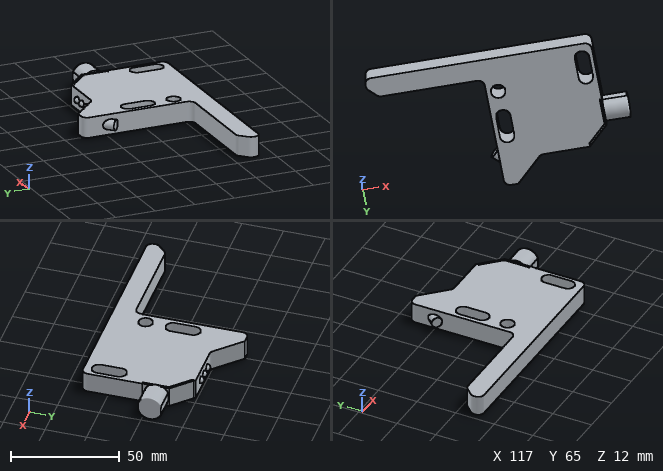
import cadquery as cq
import math

thickness = 10.0
plate_length = 105.7
plate_height = 65.0
arm_width = 10.0
arm_tip_chamfer = 5.0
wall_x = 53.9
shelf_y = 52.3
horn_width = 6.4
corner_chamfer = 9.8
corner_radius = 3.0
mid_z = thickness / 2

hole_diameter = 6.7
slot_length = 16.6
left_hole_x = 59.5
round_hole_y = 17.1
left_slot_y = 35.1
right_slot_x = 100.5
right_slot_y = 12.0

lamp_radius = 1.6
lamp_pitch = 5.0
lamp_count = 3
middle_lamp_x = 83.5

lens_diameter = 5.1
lens_length = 7.0
lens_center_x = 51.9
lens_center_y = 49.7

recess_depth = 1.0
strip_gap = 0.4
strip_end_y = 29.5
strip_top_margin = 1.2

knob_root_diameter = 11.9
knob_end_diameter = 12.0
knob_across_flats = 11.0
knob_end_x = 117.0
knob_y = 36.4
knob_edge_radius = 0.4


def make_plate_blank():
    """Plate with a long arm at its foot and a sloped horn at its top left."""
    horn_x = wall_x + horn_width
    horn_drop = plate_height - shelf_y
    chamfer_bottom = (plate_length, shelf_y - corner_chamfer)
    chamfer_top = (plate_length - corner_chamfer, shelf_y)
    horn_tip = (horn_x, plate_height)
    sharp_corners = [chamfer_bottom, chamfer_top, horn_tip]
    outline = [
        (0, 0),
        (plate_length, 0),
        chamfer_bottom,
        chamfer_top,
        (horn_x + horn_drop, shelf_y),
        horn_tip,
        (wall_x, plate_height),
        (wall_x, arm_width),
        (arm_tip_chamfer, arm_width),
        (0, arm_width - arm_tip_chamfer),
    ]
    blank = cq.Workplane("XY").polyline(outline).close().extrude(thickness)
    rounded_edges = blank.edges("|Z").filter(
        lambda edge: all(
            math.dist((edge.Center().x, edge.Center().y), corner) > corner_radius / 2
            for corner in sharp_corners
        )
    )
    return rounded_edges.fillet(corner_radius)


def make_mounting_holes():
    slots = (
        cq.Workplane("XY")
        .pushPoints([(left_hole_x, left_slot_y), (right_slot_x, right_slot_y)])
        .slot2D(slot_length, hole_diameter, 90)
        .extrude(thickness)
    )
    hole = cq.Workplane("XY").center(left_hole_x, round_hole_y).circle(hole_diameter / 2).extrude(thickness)
    return slots.union(hole)


def make_lamp(index):
    x = middle_lamp_x + (index - (lamp_count - 1) / 2) * lamp_pitch
    return cq.Workplane("XY").sphere(lamp_radius).translate((x, shelf_y, mid_z))


def make_lens():
    face = cq.Plane((lens_center_x, lens_center_y, mid_z), xDir=(0, 0, 1), normal=(1, 1, 0))
    return cq.Workplane(face).circle(lens_diameter / 2).extrude(lens_length)


def make_bent_strip(straight_depth):
    """L-shaped strip, flush with the chamfer and the right edge of the plate."""
    run = strip_top_margin / math.sqrt(2)
    top_x = plate_length - corner_chamfer + run
    top_y = shelf_y - run
    bend_y = shelf_y - corner_chamfer
    inset = recess_depth / math.sqrt(2)
    inner_x = plate_length - straight_depth
    inner_bend_y = top_x + top_y - 2 * inset - inner_x
    outline = [
        (top_x, top_y),
        (plate_length, bend_y),
        (plate_length, strip_end_y),
        (inner_x, strip_end_y),
        (inner_x, inner_bend_y),
        (top_x - inset, top_y - inset),
    ]
    return cq.Workplane("XY").polyline(outline).close().extrude(thickness)


def make_plate():
    plate = make_plate_blank().cut(make_mounting_holes())
    for index in range(lamp_count):
        plate = plate.union(make_lamp(index))
    plate = plate.union(make_lens())
    return plate.cut(make_bent_strip(recess_depth))


def make_knob():
    """Slightly conical round grip with a rounded outer rim and two parallel flats."""
    half_profile = [
        (plate_length, 0),
        (knob_end_x, 0),
        (knob_end_x, knob_end_diameter / 2),
        (plate_length, knob_root_diameter / 2),
    ]
    cone = cq.Workplane("XY").polyline(half_profile).close().revolve(360, (0, 0, 0), (1, 0, 0))
    cone = cone.faces(">X").edges().fillet(knob_edge_radius).translate((0, knob_y, mid_z))
    between_flats = (
        cq.Workplane("YZ", origin=(plate_length, knob_y, mid_z))
        .rect(knob_across_flats, 2 * knob_end_diameter)
        .extrude(knob_end_x - plate_length)
    )
    return cone.intersect(between_flats)


plate = make_plate()
strip = make_bent_strip(recess_depth - strip_gap)
knob = make_knob()

result = cq.Compound.makeCompound([plate.val(), strip.val(), knob.val()])